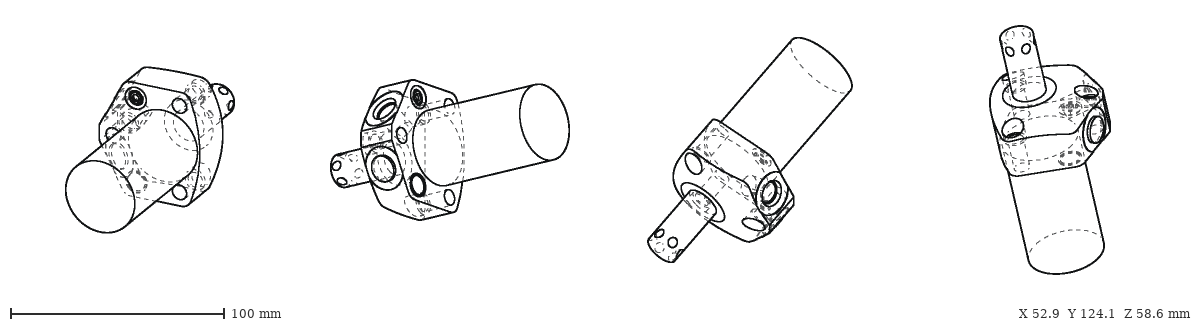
import cadquery as cq
import math

TOTAL_LENGTH = 124.1
BARREL_LENGTH = 65.1
BARREL_DIAMETER = 36.4
FLANGE_THICKNESS = 26.4
ROD_LENGTH = TOTAL_LENGTH - BARREL_LENGTH - FLANGE_THICKNESS
ROD_DIAMETER = 16.0
ROD_RADIUS = ROD_DIAMETER / 2

FLANGE_WIDTH = 52.9
FLANGE_LEFT = -33.5
FLANGE_RIGHT = FLANGE_LEFT + FLANGE_WIDTH
HALF_HEIGHT = 58.6 / 2
NOSE_HALF_HEIGHT = 4.0
SIDE_ANGLE = 28.0
SIDE_ARC_RADIUS = 72.0
CORNER_RADIUS = 5.2

CONE_ANGLE = 20.0
CONE_FLAT_RADIUS = 12.8

MOUNT_HOLE_DIAMETER = 7.5
COUNTERBORE_DIAMETER = 10.4
COUNTERBORE_FLOOR_Y = 16.1
NOSE_HOLE_X = -26.2
RIGHT_HOLE_X = 8.7
RIGHT_HOLE_Z = 22.2

PORT_Y = 9.4
PORT_Z = 14.6
SPOTFACE_DIAMETER = 21.1
SPOTFACE_DEPTH = 0.2
PORT_MOUTH_DIAMETER = 12.7
PORT_THROAT_DIAMETER = 11.0
PORT_THROAT_DEPTH = 2.4
PORT_BORE_DIAMETER = 9.9
PORT_CHAMFER = (PORT_THROAT_DIAMETER - PORT_BORE_DIAMETER) / 2
PORT_DEPTH = 15.8
PLUG_HEIGHT = 1.2

FITTING_X = -14.3
FITTING_Z = 21.5
FITTING_DIAMETER = 11.0
RING_INNER_DIAMETER = 7.5
RING_HEIGHT = 0.81
VALVE_RECESS_DEPTH = 0.6
HEX_ACROSS_FLATS = 5.5
VALVE_HOLE_DIAMETER = 3.5
VALVE_HOLE_DEPTH = 1.2
GROOVE_INNER_DIAMETER = 9.3
GROOVE_DEPTH = 0.5

DIMPLE_COUNT = 6
DIMPLE_DIAMETER = 5.1
DIMPLE_FROM_TIP = 4.0
TIP_FILLET = 0.7


def cylinder_y(x, z, diameter, y_start, y_end):
    """Cylinder along +Y between two Y positions."""
    base = cq.Vector(x, y_start, z)
    solid = cq.Solid.makeCylinder(diameter / 2, y_end - y_start, base, cq.Vector(0, 1, 0))
    return cq.Workplane(obj=solid)


def make_flange():
    """Nosed plate with a bowed right side, rounded corners and a conical back."""
    slant_top_x = FLANGE_LEFT + (HALF_HEIGHT - NOSE_HALF_HEIGHT) * math.tan(math.radians(SIDE_ANGLE))
    arc_sag = SIDE_ARC_RADIUS - math.sqrt(SIDE_ARC_RADIUS**2 - HALF_HEIGHT**2)
    arc_end_x = FLANGE_RIGHT - arc_sag
    plate = (
        cq.Workplane("XZ")
        .moveTo(FLANGE_LEFT, -NOSE_HALF_HEIGHT)
        .lineTo(FLANGE_LEFT, NOSE_HALF_HEIGHT)
        .lineTo(slant_top_x, HALF_HEIGHT)
        .lineTo(arc_end_x, HALF_HEIGHT)
        .threePointArc((FLANGE_RIGHT, 0), (arc_end_x, -HALF_HEIGHT))
        .lineTo(slant_top_x, -HALF_HEIGHT)
        .close()
        .extrude(-FLANGE_THICKNESS)
    )
    plate = plate.edges("|Y").edges(">Z or <Z").fillet(CORNER_RADIUS)

    envelope_radius = math.hypot(FLANGE_LEFT, HALF_HEIGHT)
    cone_drop = (envelope_radius - CONE_FLAT_RADIUS) * math.tan(math.radians(CONE_ANGLE))
    envelope = (
        cq.Workplane("XY")
        .polyline(
            [
                (0, 0),
                (envelope_radius, 0),
                (envelope_radius, FLANGE_THICKNESS - cone_drop),
                (CONE_FLAT_RADIUS, FLANGE_THICKNESS),
                (0, FLANGE_THICKNESS),
            ]
        )
        .close()
        .revolve(360, (0, 0, 0), (0, 1, 0))
    )
    return plate.intersect(envelope)


def make_rod():
    """Rod with a rounded tip and a ring of conical dimples."""
    tip_y = FLANGE_THICKNESS + ROD_LENGTH
    rod = cylinder_y(0, 0, ROD_DIAMETER, 0, tip_y)
    rod = rod.faces(">Y").edges().fillet(TIP_FILLET)
    dimple_radius = DIMPLE_DIAMETER / 2
    for i in range(DIMPLE_COUNT):
        angle = 2 * math.pi * i / DIMPLE_COUNT
        outward = cq.Vector(math.cos(angle), 0, math.sin(angle))
        mouth = cq.Vector(0, tip_y - DIMPLE_FROM_TIP, 0) + outward * ROD_RADIUS
        dimple = cq.Solid.makeCone(dimple_radius, 0, dimple_radius, mouth, outward * -1)
        rod = rod.cut(cq.Workplane(obj=dimple))
    return rod


def port_turning(side, profile):
    """Turned body square to a slanted face; side is +1 (upper) or -1 (lower).

    The profile lists (diameter, depth) pairs, with depth measured inward from the face.
    """
    slope = math.radians(SIDE_ANGLE)
    face_x = FLANGE_LEFT + (PORT_Z - NOSE_HALF_HEIGHT) * math.tan(slope)
    inward = (math.cos(slope), 0, -side * math.sin(slope))
    plane = cq.Plane(origin=(face_x, PORT_Y, side * PORT_Z), xDir=(0, 1, 0), normal=inward)
    half_section = [(diameter / 2, 0, depth) for diameter, depth in profile]
    axis_ends = [(0, 0, profile[-1][1]), (0, 0, profile[0][1])]
    corners = [plane.toWorldCoords(point) for point in half_section + axis_ends]
    face = cq.Face.makeFromWires(cq.Wire.makePolygon(corners, close=True))
    solid = cq.Solid.revolve(face, 360, corners[-1], corners[-2])
    return cq.Workplane(obj=solid)


def add_ports(body):
    """Spotface both slanted faces, bore the upper port and plug the lower one."""
    spotface = [(SPOTFACE_DIAMETER, 0), (SPOTFACE_DIAMETER, SPOTFACE_DEPTH)]
    for side in (1, -1):
        body = body.cut(port_turning(side, spotface))
    port = [
        (PORT_MOUTH_DIAMETER, 0),
        (PORT_MOUTH_DIAMETER, SPOTFACE_DEPTH),
        (PORT_THROAT_DIAMETER, PORT_THROAT_DEPTH),
        (PORT_BORE_DIAMETER, PORT_THROAT_DEPTH + PORT_CHAMFER),
        (PORT_BORE_DIAMETER, PORT_DEPTH),
    ]
    plug = [(PORT_MOUTH_DIAMETER, -PLUG_HEIGHT), (PORT_MOUTH_DIAMETER, PORT_THROAT_DEPTH)]
    return body.cut(port_turning(1, port)).union(port_turning(-1, plug))


def add_valve(body):
    """Rounded ring around a sunk floor with a drilled hexagonal post."""
    inner_radius = RING_INNER_DIAMETER / 2
    outer_radius = FITTING_DIAMETER / 2
    ring = (
        cq.Workplane("XY", origin=(FITTING_X, 0, FITTING_Z))
        .moveTo(inner_radius, 0)
        .threePointArc(((inner_radius + outer_radius) / 2, -RING_HEIGHT), (outer_radius, 0))
        .lineTo(outer_radius, VALVE_RECESS_DEPTH)
        .lineTo(inner_radius, VALVE_RECESS_DEPTH)
        .close()
        .revolve(360, (0, 0, 0), (0, 1, 0))
    )
    corner_diameter = HEX_ACROSS_FLATS / math.cos(math.pi / 6)
    post = (
        cq.Workplane("XZ", origin=(FITTING_X, 0, FITTING_Z))
        .transformed(rotate=(0, 0, 90))
        .polygon(6, corner_diameter)
        .extrude(-VALVE_RECESS_DEPTH)
    )
    recess = cylinder_y(FITTING_X, FITTING_Z, RING_INNER_DIAMETER, 0, VALVE_RECESS_DEPTH)
    hole = cylinder_y(FITTING_X, FITTING_Z, VALVE_HOLE_DIAMETER, 0, VALVE_HOLE_DEPTH)
    return body.union(ring).cut(recess.cut(post)).cut(hole)


def cut_plug_groove(body):
    """Narrow ring groove that outlines the flush plug."""
    groove = cylinder_y(FITTING_X, -FITTING_Z, FITTING_DIAMETER, 0, GROOVE_DEPTH)
    core = cylinder_y(FITTING_X, -FITTING_Z, GROOVE_INNER_DIAMETER, 0, GROOVE_DEPTH)
    return body.cut(groove.cut(core))


def cut_mounting_holes(body):
    """Three holes through the flange, counterbored from the conical back."""
    centers = [
        (NOSE_HOLE_X, 0),
        (RIGHT_HOLE_X, RIGHT_HOLE_Z),
        (RIGHT_HOLE_X, -RIGHT_HOLE_Z),
    ]
    for x, z in centers:
        body = body.cut(cylinder_y(x, z, MOUNT_HOLE_DIAMETER, 0, FLANGE_THICKNESS))
        body = body.cut(cylinder_y(x, z, COUNTERBORE_DIAMETER, COUNTERBORE_FLOOR_Y, FLANGE_THICKNESS))
    return body


flange = add_ports(make_flange())
flange = add_valve(flange)
flange = cut_plug_groove(flange)
flange = cut_mounting_holes(flange)
barrel = cylinder_y(0, 0, BARREL_DIAMETER, -BARREL_LENGTH, 0)
result = flange.union(barrel).union(make_rod())